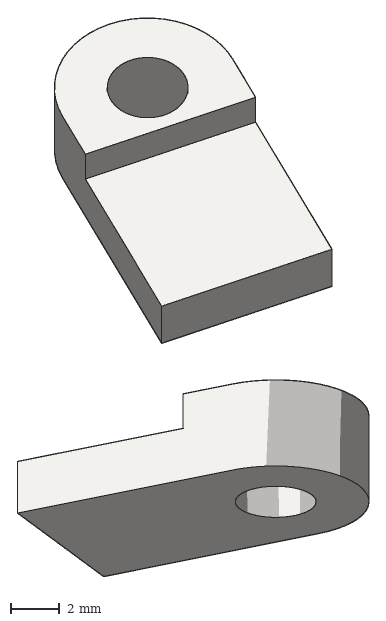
import cadquery as cq

width = 7.62
total_length = 13.716
eye_height = 3.81
tongue_length = 7.62
tongue_thickness = 2.286
hole_diameter = 3.3

eye_radius = width / 2
tongue_end_x = total_length - eye_radius
step_x = tongue_end_x - tongue_length


def rounded_body():
    """Full-height plate with a semicircular end around the hole axis."""
    return (
        cq.Workplane("XY")
        .moveTo(0, eye_radius)
        .threePointArc((-eye_radius, 0), (0, -eye_radius))
        .lineTo(tongue_end_x, -eye_radius)
        .lineTo(tongue_end_x, eye_radius)
        .close()
        .extrude(eye_height)
    )


def tongue_relief():
    """Block removed above the tongue to form the step."""
    step_height = eye_height - tongue_thickness
    return (
        cq.Workplane("XY")
        .box(tongue_length, width, step_height, centered=(False, True, False))
        .translate((step_x, 0, tongue_thickness))
    )


def eye_hole():
    """Through hole concentric with the rounded end."""
    return cq.Workplane("XY").circle(hole_diameter / 2).extrude(eye_height)


result = rounded_body().cut(tongue_relief()).cut(eye_hole())